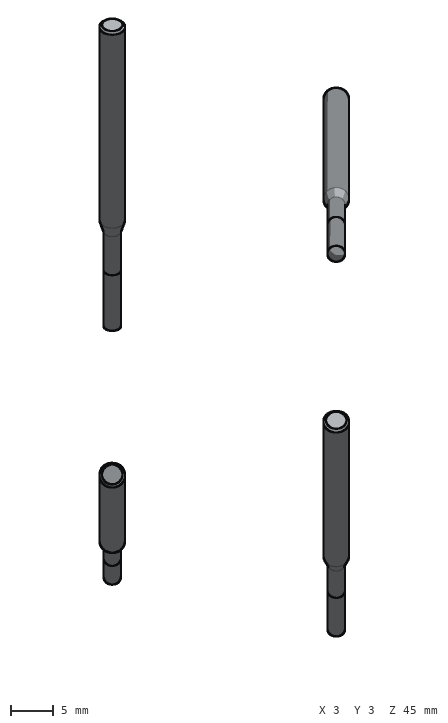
import cadquery as cq

total_length = 45.0
shank_diameter = 3.0
cutter_diameter = 2.05

tip_height = 0.55
cutter_top = 8.78
neck_top = 14.5
shank_bottom = 16.1

bevel_width = 0.3
bevel_height = 0.3

shank_radius = shank_diameter / 2
cutter_radius = cutter_diameter / 2
neck_radius = cutter_radius


def revolve_profile(points):
    """Turn a closed (radius, height) outline about the Z axis."""
    return cq.Workplane("XZ").polyline(points).close().revolve(360, (0, 0), (0, 1))


def make_holder():
    """Cylindrical shank with a bevelled top, a tapered shoulder and a thin neck."""
    return revolve_profile([
        (0, cutter_top),
        (neck_radius, cutter_top),
        (neck_radius, neck_top),
        (shank_radius, shank_bottom),
        (shank_radius, total_length - bevel_height),
        (shank_radius - bevel_width, total_length),
        (0, total_length),
    ])


def make_cutter():
    """Cylindrical cutting end with a conical tip, butted against the neck."""
    return revolve_profile([
        (0, 0),
        (cutter_radius, tip_height),
        (cutter_radius, cutter_top),
        (0, cutter_top),
    ])


holder = make_holder()
cutter = make_cutter()

result = cq.Compound.makeCompound([holder.val(), cutter.val()])